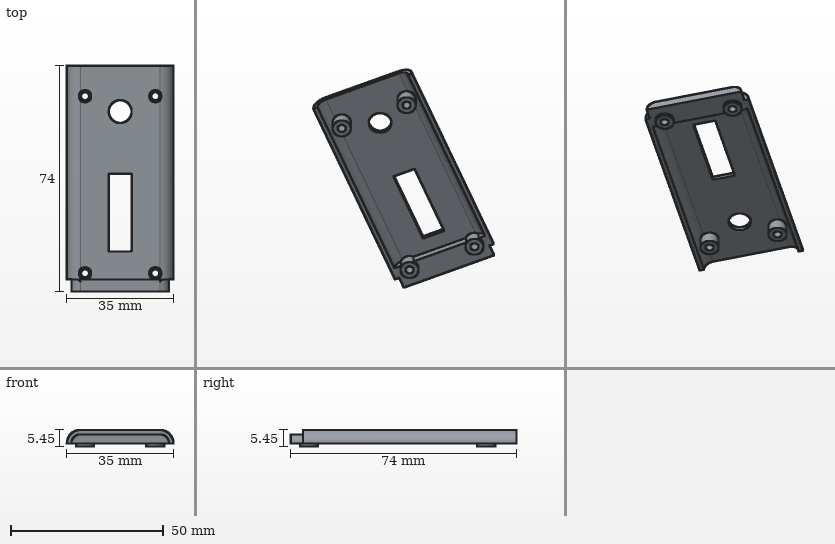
import cadquery as cq

BODY_WIDTH = 35.0
TOTAL_LENGTH = 74.0
TONGUE_LENGTH = 4.0
TONGUE_ROOT = 4.0
BODY_HEIGHT = 4.5
BOSS_HEIGHT = 0.95

WALL = 1.5

SCREW_SPACING_X = 23.0
SCREW_SPACING_Y = 58.0
SCREW_BACK_MARGIN = 10.0
SCREW_DIAMETER = 2.7
SINK_DIAMETER = 4.0
SINK_DEPTH = (SINK_DIAMETER - SCREW_DIAMETER) / 2
BOSS_DIAMETER = 6.0

ROUND_OPENING_DIAMETER = 7.4
ROUND_OPENING_BACK_MARGIN = 15.0
SLOT_WIDTH = 7.5
SLOT_LENGTH = 25.4
SLOT_BACK_MARGIN = 35.45
SLOT_CORNER_RADIUS = 0.3

BODY_LENGTH = TOTAL_LENGTH - TONGUE_LENGTH
INNER_WIDTH = BODY_WIDTH - 2 * WALL
INNER_HEIGHT = BODY_HEIGHT - WALL
SCREW_Y_BACK = TOTAL_LENGTH - SCREW_BACK_MARGIN
SCREW_POINTS = [
    (side * SCREW_SPACING_X / 2, y)
    for side in (-1, 1)
    for y in (SCREW_Y_BACK - SCREW_SPACING_Y, SCREW_Y_BACK)
]


def rounded_bar(width, height, length, y_start):
    """Flat-bottomed bar along Y whose upper edges are quarter rounds of full height."""
    outline = (
        cq.Workplane("XZ")
        .moveTo(-width / 2, 0)
        .lineTo(width / 2, 0)
        .radiusArc((width / 2 - height, height), -height)
        .lineTo(height - width / 2, height)
        .radiusArc((-width / 2, 0), -height)
        .close()
    )
    return outline.extrude(-length).translate((0, y_start, 0))


def bosses():
    """Round posts from the shell's ceiling to below its lower rim."""
    return (
        cq.Workplane("XY", origin=(0, 0, -BOSS_HEIGHT))
        .pushPoints(SCREW_POINTS)
        .circle(BOSS_DIAMETER / 2)
        .extrude(BOSS_HEIGHT + INNER_HEIGHT)
    )


def screw_cutter(x, y):
    """Through hole with a conical seat for the screw head."""
    hole = (
        cq.Workplane("XY", origin=(x, y, -BOSS_HEIGHT))
        .circle(SCREW_DIAMETER / 2)
        .extrude(BOSS_HEIGHT + BODY_HEIGHT)
    )
    seat = (
        cq.Workplane("XY", origin=(x, y, BODY_HEIGHT - SINK_DEPTH))
        .circle(SCREW_DIAMETER / 2)
        .workplane(offset=SINK_DEPTH)
        .circle(SINK_DIAMETER / 2)
        .loft()
    )
    return hole.union(seat)


def round_opening():
    return (
        cq.Workplane("XY")
        .center(0, TOTAL_LENGTH - ROUND_OPENING_BACK_MARGIN)
        .circle(ROUND_OPENING_DIAMETER / 2)
        .extrude(BODY_HEIGHT)
    )


def slot_opening():
    """Rectangular window with slightly rounded corners."""
    return (
        cq.Workplane("XY")
        .center(0, TOTAL_LENGTH - SLOT_BACK_MARGIN - SLOT_LENGTH / 2)
        .rect(SLOT_WIDTH, SLOT_LENGTH)
        .extrude(BODY_HEIGHT)
        .edges("|Z")
        .fillet(SLOT_CORNER_RADIUS)
    )


body = rounded_bar(BODY_WIDTH, BODY_HEIGHT, BODY_LENGTH, TONGUE_LENGTH)
cavity = rounded_bar(INNER_WIDTH, INNER_HEIGHT, BODY_LENGTH, TONGUE_LENGTH)
tongue = rounded_bar(INNER_WIDTH, INNER_HEIGHT, TONGUE_LENGTH + TONGUE_ROOT, 0)

result = body.cut(cavity).union(tongue).union(bosses())
for screw_x, screw_y in SCREW_POINTS:
    result = result.cut(screw_cutter(screw_x, screw_y))
result = result.cut(round_opening()).cut(slot_opening())